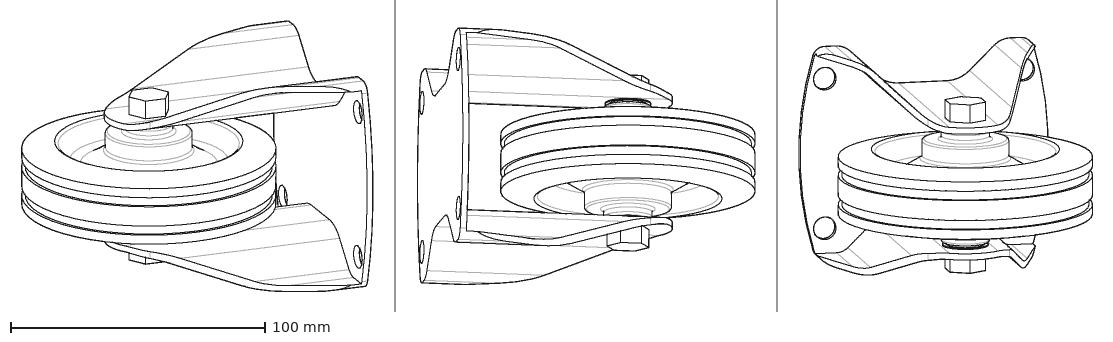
import cadquery as cq
import math


SHEET = 2.5
PLATE_FACE_Y = 75.0
PLATE_HALF_WIDTH = 50.0
SIDE_BOW_RADIUS = 136.0
CORNER_RADIUS = 5.0
OUTER_HALF_HEIGHT = 42.5
WAIST_HALF_HEIGHT = 26.5
WAIST_HALF_WIDTH = 9.8
WAIST_BEND_RADIUS = 13.0
SHOULDER_BEND_RADIUS = 9.0
BEND_ANGLE = math.radians(44.0)
NOSE_RADIUS = 17.5
TAPER_ANGLE = math.radians(20.3)
HOLE_DIAMETER = 9.0
HOLE_X = 40.0
HOLE_Z = 30.0

WHEEL_RADIUS = 50.0
BAND_HALF_WIDTH = 4.0
GROOVE_RADIUS = 48.6
GROOVE_OUTER_Z = 7.75
TREAD_HALF_WIDTH = 11.5
RIM_HALF_WIDTH = 14.4
RIM_RADIUS = 37.0
RIM_ROUND = 3.0
LIP_START_ANGLE = math.radians(18.0)
LIP_END_ANGLE = math.radians(50.0)
WALL_TOP_ANGLE = math.radians(54.0)
WALL_FOOT_ANGLE = math.radians(62.0)
WALL_FOOT_RADIUS = 31.2
DISH_FILLET = 3.0
CONE_ANGLE = math.radians(31.0)
CONE_FILLET = 1.5
HUB_RADIUS = 17.1
HUB_HALF_WIDTH = 18.6
HUB_FILLET = 0.8

BUSHING_RADIUS = 9.5
BUSHING_END_Z = 22.75
BUSHING_FLARE = 1.25
BUSHING_FILLET = 1.0
BOLT_RADIUS = 7.5
WASHER_RADIUS = 9.0
WASHER_Z = 23.6
HEX_ACROSS_FLATS = 14.5
HEX_END_Z = 33.8

BEYOND = 20.0


def on_circle(center, radius, angle):
    """Point on a circle at the given angle."""
    return (center[0] + radius * math.cos(angle), center[1] + radius * math.sin(angle))


def arc_points(center, radius, start, end):
    """Start, middle and end points of an arc between two angles."""
    return [on_circle(center, radius, angle) for angle in (start, (start + end) / 2, end)]


def leg_bends(inset):
    """Arc points of the two +X bends of the upper leg, on the face `inset` below its outer face."""
    waist_radius = WAIST_BEND_RADIUS + inset
    shoulder_radius = SHOULDER_BEND_RADIUS - inset
    straight_rise = (
        OUTER_HALF_HEIGHT
        - WAIST_HALF_HEIGHT
        - (WAIST_BEND_RADIUS + SHOULDER_BEND_RADIUS) * (1 - math.cos(BEND_ANGLE))
    )
    shoulder_x = (
        WAIST_HALF_WIDTH
        + (WAIST_BEND_RADIUS + SHOULDER_BEND_RADIUS) * math.sin(BEND_ANGLE)
        + straight_rise / math.tan(BEND_ANGLE)
    )
    waist_center = (WAIST_HALF_WIDTH, WAIST_HALF_HEIGHT + WAIST_BEND_RADIUS)
    shoulder_center = (shoulder_x, OUTER_HALF_HEIGHT - SHOULDER_BEND_RADIUS)
    quarter = math.pi / 2
    waist = arc_points(waist_center, waist_radius, -quarter, BEND_ANGLE - quarter)
    shoulder = arc_points(shoulder_center, shoulder_radius, BEND_ANGLE + quarter, quarter)
    return waist, shoulder


def mirrored(point):
    return (-point[0], point[1])


def below_leg_face(inset, half_width):
    """Closed XZ area between Z = 0 and a leg face, out to X = +-half_width."""
    waist, shoulder = leg_bends(inset)
    top_z = OUTER_HALF_HEIGHT - inset
    return (
        cq.Workplane("XZ", origin=(0, PLATE_FACE_Y, 0))
        .moveTo(-half_width, 0)
        .lineTo(-half_width, top_z)
        .lineTo(*mirrored(shoulder[2]))
        .threePointArc(mirrored(shoulder[1]), mirrored(shoulder[0]))
        .lineTo(*mirrored(waist[2]))
        .threePointArc(mirrored(waist[1]), mirrored(waist[0]))
        .lineTo(*waist[0])
        .threePointArc(waist[1], waist[2])
        .lineTo(*shoulder[0])
        .threePointArc(shoulder[1], shoulder[2])
        .lineTo(half_width, top_z)
        .lineTo(half_width, 0)
        .close()
    )


def both_halves(upper):
    return upper.union(upper.mirror("XY")).clean()


def bracket_block(depth):
    """Bracket outline in XZ, extruded from the plate face toward -Y."""
    block = both_halves(below_leg_face(0, PLATE_HALF_WIDTH).extrude(depth))
    bow_offset = SIDE_BOW_RADIUS - PLATE_HALF_WIDTH
    for side in (-1, 1):
        bow = (
            cq.Workplane("XZ", origin=(0, PLATE_FACE_Y, 0))
            .center(-side * bow_offset, 0)
            .circle(SIDE_BOW_RADIUS)
            .extrude(depth)
        )
        block = block.intersect(bow)
    corner_x = math.sqrt(SIDE_BOW_RADIUS**2 - OUTER_HALF_HEIGHT**2) - bow_offset
    margin = SHEET / 2
    for x in (-corner_x, corner_x):
        for z in (-OUTER_HALF_HEIGHT, OUTER_HALF_HEIGHT):
            near = cq.selectors.BoxSelector(
                (x - margin, PLATE_FACE_Y - depth - margin, z - margin),
                (x + margin, PLATE_FACE_Y + margin, z + margin),
                boundingbox=True,
            )
            block = block.edges(near).fillet(CORNER_RADIUS)
    return block


def leg_plan():
    """Tapered leg with a round nose, as a tall prism along Z."""
    tangent_x = NOSE_RADIUS * math.cos(TAPER_ANGLE)
    tangent_y = -NOSE_RADIUS * math.sin(TAPER_ANGLE)
    root_x = tangent_x + (PLATE_FACE_Y - tangent_y) * math.tan(TAPER_ANGLE)
    return (
        cq.Workplane("XY")
        .moveTo(-root_x, PLATE_FACE_Y)
        .lineTo(-tangent_x, tangent_y)
        .threePointArc((0, -NOSE_RADIUS), (tangent_x, tangent_y))
        .lineTo(root_x, PLATE_FACE_Y)
        .close()
        .extrude(OUTER_HALF_HEIGHT + BEYOND, both=True)
    )


def bracket():
    leg_depth = PLATE_FACE_Y + NOSE_RADIUS
    cavity = both_halves(below_leg_face(SHEET, PLATE_HALF_WIDTH + BEYOND).extrude(leg_depth + BEYOND))
    legs = bracket_block(leg_depth).cut(cavity).intersect(leg_plan())
    holes = (
        cq.Workplane("XZ", origin=(0, PLATE_FACE_Y, 0))
        .rect(2 * HOLE_X, 2 * HOLE_Z, forConstruction=True)
        .vertices()
        .circle(HOLE_DIAMETER / 2)
        .extrude(SHEET)
    )
    return bracket_block(SHEET).union(legs).cut(holes)


def dish_arcs():
    """Arc points, as (radius, height), of the dish lip, wall, bottom and cone-to-hub round."""
    up = math.pi / 2
    down = -math.pi / 2
    rim_center = (
        RIM_RADIUS + RIM_ROUND * math.sin(LIP_START_ANGLE),
        RIM_HALF_WIDTH - RIM_ROUND * math.cos(LIP_START_ANGLE),
    )
    rim = arc_points(rim_center, RIM_ROUND, up + LIP_START_ANGLE, up + LIP_END_ANGLE)
    wall_top_radius, wall_top_z = rim[2]

    wall_turn = math.sin(WALL_FOOT_ANGLE) - math.sin(WALL_TOP_ANGLE)
    wall_bend = (wall_top_radius - WALL_FOOT_RADIUS) / wall_turn
    wall_center = (
        wall_top_radius + wall_bend * math.sin(WALL_TOP_ANGLE),
        wall_top_z - wall_bend * math.cos(WALL_TOP_ANGLE),
    )
    wall = arc_points(wall_center, wall_bend, up + WALL_TOP_ANGLE, up + WALL_FOOT_ANGLE)
    wall_foot_z = wall[2][1]

    bottom_center = (
        WALL_FOOT_RADIUS - DISH_FILLET * math.sin(WALL_FOOT_ANGLE),
        wall_foot_z + DISH_FILLET * math.cos(WALL_FOOT_ANGLE),
    )
    bottom = arc_points(bottom_center, DISH_FILLET, down + WALL_FOOT_ANGLE, down - CONE_ANGLE)
    cone_foot_radius, cone_foot_z = bottom[2]

    cone_end_radius = HUB_RADIUS + CONE_FILLET * (1 - math.sin(CONE_ANGLE))
    cone_end_z = cone_foot_z + (cone_foot_radius - cone_end_radius) * math.tan(CONE_ANGLE)
    hub_center = (HUB_RADIUS + CONE_FILLET, cone_end_z + CONE_FILLET * math.cos(CONE_ANGLE))
    hub = arc_points(hub_center, CONE_FILLET, down - CONE_ANGLE, -math.pi)
    return rim, wall, bottom, hub


def wheel_and_bushing():
    """Shape turned about Z from a (radius, height) profile of its upper half, mirrored about Z = 0."""
    quarter = math.pi / 2
    rim, wall, bottom, hub_foot = dish_arcs()
    hub_edge = arc_points(
        (HUB_RADIUS - HUB_FILLET, HUB_HALF_WIDTH - HUB_FILLET), HUB_FILLET, 0, quarter
    )
    flare = arc_points(
        (BUSHING_RADIUS + BUSHING_FLARE, HUB_HALF_WIDTH + BUSHING_FLARE), BUSHING_FLARE, -quarter, -math.pi
    )
    bushing_edge = arc_points(
        (BUSHING_RADIUS - BUSHING_FILLET, BUSHING_END_Z - BUSHING_FILLET), BUSHING_FILLET, 0, quarter
    )
    half = (
        cq.Workplane("XZ")
        .moveTo(0, 0)
        .lineTo(GROOVE_RADIUS, 0)
        .lineTo(GROOVE_RADIUS, GROOVE_OUTER_Z)
        .lineTo(WHEEL_RADIUS, GROOVE_OUTER_Z)
        .lineTo(WHEEL_RADIUS, TREAD_HALF_WIDTH)
        .lineTo(*rim[0])
        .threePointArc(rim[1], rim[2])
        .threePointArc(wall[1], wall[2])
        .threePointArc(bottom[1], bottom[2])
        .lineTo(*hub_foot[0])
        .threePointArc(hub_foot[1], hub_foot[2])
        .lineTo(*hub_edge[0])
        .threePointArc(hub_edge[1], hub_edge[2])
        .lineTo(*flare[0])
        .threePointArc(flare[1], flare[2])
        .lineTo(*bushing_edge[0])
        .threePointArc(bushing_edge[1], bushing_edge[2])
        .lineTo(0, BUSHING_END_Z)
        .close()
        .revolve(360, (0, 0, 0), (0, 1, 0))
    )
    middle_band = (
        cq.Workplane("XY", origin=(0, 0, -BAND_HALF_WIDTH))
        .circle(WHEEL_RADIUS)
        .extrude(2 * BAND_HALF_WIDTH)
    )
    return both_halves(half).union(middle_band)


def bolt():
    leg_inner_z = WAIST_HALF_HEIGHT - SHEET
    shank = cq.Workplane("XY").circle(BOLT_RADIUS).extrude(WAIST_HALF_HEIGHT)
    washer = (
        cq.Workplane("XY", origin=(0, 0, WASHER_Z))
        .circle(WASHER_RADIUS)
        .extrude(leg_inner_z - WASHER_Z)
    )
    head = (
        cq.Workplane("XY", origin=(0, 0, WAIST_HALF_HEIGHT))
        .polygon(6, HEX_ACROSS_FLATS, circumscribed=True)
        .extrude(HEX_END_Z - WAIST_HALF_HEIGHT)
    )
    return both_halves(shank.union(washer).union(head))


result = bracket().union(bolt()).union(wheel_and_bushing()).clean()